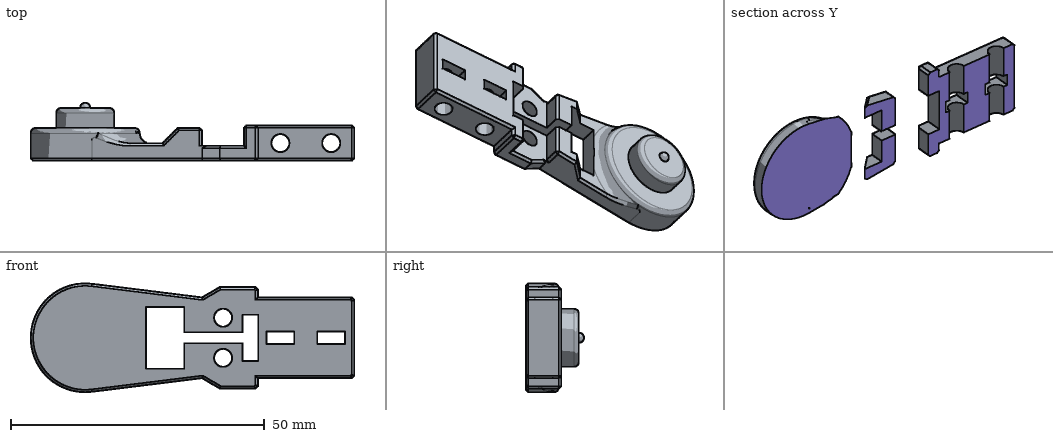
import cadquery as cq
import math


head_diameter = 21.5
head_radius = head_diameter / 2
head_thickness = 6.5
head_round = 1.0
boss_radius = 5.75
boss_top = 10.45
boss_round = 1.0
pip_radius = 1.0

overall_length = 63.75
handle_end = overall_length - head_radius
neck_x = 23.0
neck_half_width = 8.0
shoulder_x = 26.5
shoulder_half_width = 10.0
tail_start = 34.05
tail_half_width = neck_half_width
edge_chamfer = 0.5

match_tolerance = 0.0005

arm_thickness = 3.5
ramp_start = 15.25
block_thickness = 6.5
block_end = neck_x
bridge_thickness = 3.0
rib_start = 31.25
tail_thickness = 7.0
foot_fillet = head_thickness - head_round - arm_thickness

window_start = 12.0
window_end = 19.5
window_half_width = 6.05
slit_width = 2.1
cross_start = 31.0
cross_half_width = 4.5
hole_diameter = 3.5
shoulder_hole_x = 27.15
shoulder_hole_z = 3.95

tail_hole_places = (38.45, 48.45)
tail_hole_height = tail_thickness / 2
slot_length = 5.4
slot_width = 2.4


def flat_plane():
    """Sketch plane with local x = X, local y = -Z, extruding toward +Y."""
    return cq.Workplane(cq.Plane(origin=(0, 0, 0), xDir=(1, 0, 0), normal=(0, 1, 0)))


def through_box(x_min, x_max, half_width):
    """Box through the whole thickness, centred on Z = 0."""
    return (
        flat_plane()
        .center((x_min + x_max) / 2, 0)
        .rect(x_max - x_min, 2 * half_width)
        .extrude(tail_thickness)
    )


def tangent_point():
    """Point on the head circle where the straight line to the neck touches it."""
    distance = math.hypot(neck_x, neck_half_width)
    angle = math.atan2(neck_half_width, neck_x) + math.acos(head_radius / distance)
    return head_radius * math.cos(angle), head_radius * math.sin(angle)


def handle_plan():
    """Handle outline, from the head's tangent points to the tail end, swept through the full thickness."""
    touch_x, touch_z = tangent_point()
    upper = [
        (neck_x, neck_half_width),
        (shoulder_x, shoulder_half_width),
        (tail_start, shoulder_half_width),
        (tail_start, tail_half_width),
        (handle_end, tail_half_width),
    ]
    lower = [(x, -z) for x, z in reversed(upper)]
    return (
        flat_plane()
        .moveTo(touch_x, touch_z)
        .polyline(upper + lower + [(touch_x, -touch_z)], includeCurrent=True)
        .close()
        .extrude(tail_thickness)
    )


def handle_profile():
    """Stepped thickness of the handle, swept across its width."""
    ramp_end = ramp_start + block_thickness - arm_thickness
    return (
        cq.Workplane("XY")
        .polyline([
            (-head_radius, 0),
            (handle_end, 0),
            (handle_end, tail_thickness),
            (rib_start, tail_thickness),
            (rib_start, bridge_thickness),
            (block_end, bridge_thickness),
            (block_end, block_thickness),
            (ramp_end, block_thickness),
            (ramp_start, arm_thickness),
            (-head_radius, arm_thickness),
        ])
        .close()
        .extrude(head_radius, both=True)
    )


def foot_flare():
    """Concave ring that blends the head wall into the arm."""
    flare_radius = head_radius + foot_fillet
    flare_top = arm_thickness + foot_fillet
    arc_reach = foot_fillet * (1 - math.sqrt(0.5))
    ring = (
        cq.Workplane("XY")
        .moveTo(0, 0)
        .lineTo(flare_radius, 0)
        .lineTo(flare_radius, arm_thickness)
        .threePointArc((head_radius + arc_reach, arm_thickness + arc_reach), (head_radius, flare_top))
        .lineTo(0, flare_top)
        .close()
        .revolve(360, (0, 0, 0), (0, 1, 0))
    )
    return ring.intersect(handle_plan())


def head():
    disc = flat_plane().circle(head_radius).extrude(head_thickness)
    return disc.faces(">Y").edges().fillet(head_round)


def boss_and_pip():
    boss = flat_plane().circle(boss_radius).extrude(boss_top)
    boss = boss.faces(">Y").edges().fillet(boss_round)
    pip = cq.Workplane("XY").sphere(pip_radius).translate((0, boss_top, 0))
    return boss.union(pip)


def same(first, second):
    return abs(first - second) < match_tolerance


def runs_through_thickness(edge):
    start, end = edge.startPoint(), edge.endPoint()
    return same(start.x, end.x) and same(start.z, end.z)


def runs_across(edge):
    start, end = edge.startPoint(), edge.endPoint()
    return same(start.x, end.x) and same(start.y, end.y)


def is_front_rim(edge):
    """Rim of the flat face, except where the handle runs into the head."""
    return same(edge.Center().y, 0) and not same(edge.Center().x, tangent_point()[0])


def is_arm_rim(edge):
    """Back rim from the head to the stepped end of the block."""
    middle = edge.Center()
    past_head = middle.x > tangent_point()[0] + edge_chamfer
    before_bridge = middle.x < block_end + edge_chamfer
    if is_front_rim(edge) or not (past_head and before_bridge):
        return False
    if runs_across(edge):
        return same(middle.x, block_end) and same(middle.y, block_thickness)
    if runs_through_thickness(edge):
        return middle.y > bridge_thickness
    return edge.geomType() != "CIRCLE"


def is_tail_rim(edge):
    """Back rim and upright corners from the bridge to the end of the tail."""
    middle = edge.Center()
    if middle.x < neck_x + edge_chamfer or is_front_rim(edge):
        return False
    if runs_across(edge):
        return same(middle.y, tail_thickness)
    if runs_through_thickness(edge):
        at_step_foot = same(middle.x, tail_start) and same(abs(middle.z), tail_half_width)
        return not at_step_foot and not same(middle.x, shoulder_x)
    return True


def chamfer_where(body, test):
    edges = [edge for edge in body.edges().vals() if test(edge)]
    return body.newObject(edges).chamfer(edge_chamfer)


def handle():
    """Handle with its rims chamfered; the two back rims meet at the neck, so each is cut in turn."""
    body = handle_plan().intersect(handle_profile()).union(foot_flare())
    for rim_test in (is_arm_rim, is_tail_rim, is_front_rim):
        body = chamfer_where(body, rim_test)
    return body


def flat_face_openings():
    """Window, slit and cross slot joined in one cut, plus the two shoulder holes."""
    window = through_box(window_start, window_end, window_half_width)
    slit = through_box(window_end, cross_start, slit_width / 2)
    cross_slot = through_box(cross_start, tail_start, cross_half_width)
    shoulder_holes = (
        flat_plane()
        .pushPoints([(shoulder_hole_x, shoulder_hole_z), (shoulder_hole_x, -shoulder_hole_z)])
        .circle(hole_diameter / 2)
        .extrude(tail_thickness)
    )
    return window.union(slit).union(cross_slot).union(shoulder_holes)


def tail_openings():
    """At each place a slot through the thickness crosses a round hole through the width."""
    slots = flat_plane().pushPoints([(x, 0) for x in tail_hole_places]).rect(slot_length, slot_width)
    holes = cq.Workplane("XY").pushPoints([(x, tail_hole_height) for x in tail_hole_places])
    holes = holes.circle(hole_diameter / 2)
    return slots.extrude(tail_thickness).union(holes.extrude(tail_half_width, both=True))


chamfered_head = chamfer_where(head(), is_front_rim)
result = handle().union(chamfered_head).union(boss_and_pip())
result = result.cut(flat_face_openings()).cut(tail_openings())